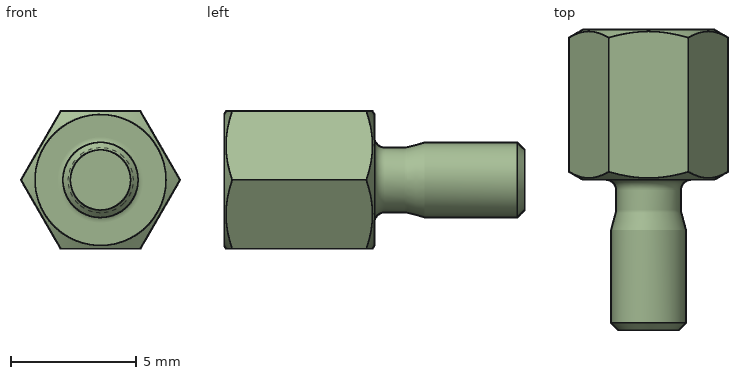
import cadquery as cq
import math


across_flats = 5.5
body_length = 6.0
across_corners = across_flats / math.cos(math.radians(30))
end_face_diameter = 0.95 * across_flats
corner_chamfer_angle = 30.0

stud_length = 6.0
stud_radius = 3.0 / 2
tip_chamfer = 0.3

neck_radius = 2.6 / 2
undercut_length = 2.0
undercut_fillet = 0.4
runout_angle = 15.0


def make_chamfer_envelope():
    """Turned blank whose conical ends cut the hexagon corners."""
    corner_radius = across_corners / 2
    face_radius = end_face_diameter / 2
    chamfer_height = (corner_radius - face_radius) * math.tan(math.radians(corner_chamfer_angle))
    overshoot = 0.1
    blank_radius = corner_radius + overshoot
    cone_height = chamfer_height * (blank_radius - face_radius) / (corner_radius - face_radius)
    return (
        cq.Workplane("XY")
        .moveTo(0, 0)
        .lineTo(face_radius, 0)
        .lineTo(blank_radius, cone_height)
        .lineTo(blank_radius, body_length - cone_height)
        .lineTo(face_radius, body_length)
        .lineTo(0, body_length)
        .close()
        .revolve(360, (0, 0, 0), (0, 1, 0))
    )


def make_body():
    """Hexagonal prism along +Y with its corners chamfered at both ends."""
    prism = cq.Workplane("XZ").polygon(6, across_corners).extrude(-body_length)
    return prism.intersect(make_chamfer_envelope())


def make_stud():
    """Chamfered stud along -Y with a filleted undercut below the shoulder."""
    slope = math.radians(runout_angle)
    half_slope = slope / 2

    shoulder_radius = neck_radius + undercut_fillet
    shoulder_mid = (
        shoulder_radius - undercut_fillet * math.cos(math.radians(45)),
        -undercut_fillet + undercut_fillet * math.sin(math.radians(45)),
    )

    cone_length = (stud_radius - neck_radius) / math.tan(slope)
    blend_start_y = -(undercut_length - cone_length - undercut_fillet * math.tan(half_slope))

    def blend_point(angle):
        return (
            neck_radius + undercut_fillet * (1 - math.cos(angle)),
            blend_start_y - undercut_fillet * math.sin(angle),
        )

    return (
        cq.Workplane("XY")
        .moveTo(0, 0)
        .lineTo(shoulder_radius, 0)
        .threePointArc(shoulder_mid, (neck_radius, -undercut_fillet))
        .lineTo(neck_radius, blend_start_y)
        .threePointArc(blend_point(half_slope), blend_point(slope))
        .lineTo(stud_radius, -undercut_length)
        .lineTo(stud_radius, -stud_length + tip_chamfer)
        .lineTo(stud_radius - tip_chamfer, -stud_length)
        .lineTo(0, -stud_length)
        .close()
        .revolve(360, (0, 0, 0), (0, 1, 0))
    )


result = make_body().union(make_stud())